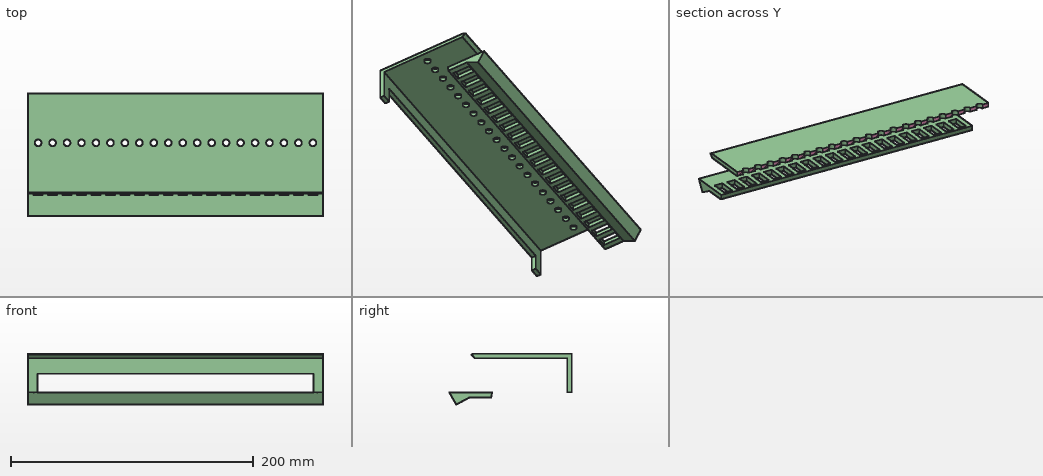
import cadquery as cq

LENGTH = 243.0
DEPTH = 101.0
COVER_HEIGHT = 31.8
Y_BACK = DEPTH

STATION_COUNT = 20
STATION_PITCH = 12.0

COVER_DEPTH = 82.9
SHEET = 4.0
TOP_BEVEL_DROP = 0.85
TOP_BEVEL_RUN = 1.5
LOWER_BEVEL = 3.0
HOLE_DIAMETER = 5.3
HOLE_FROM_BACK = 40.8
LEG_WIDTH = 8.0
OPENING_HEIGHT = 15.0

GRILLE_DEPTH = 35.5
GRILLE_THICKNESS = 4.4
BACK_TAPER = 0.7
LIP_HEIGHT = 10.2
LIP_SETBACK = 5.8
LIP_ROOT = 16.8
SLOT_WIDTH = 7.3
SLOT_DEPTH = 15.3
SLOT_FRONT = 17.5


def extrude_profile(points):
    """Extrude a (Y, Z) outline along the full length, centred on X = 0."""
    return cq.Workplane("YZ").polyline(points).close().extrude(LENGTH / 2, both=True)


def at_stations(y, z):
    """Workplane facing up with one point at each station."""
    return (
        cq.Workplane("XY", origin=(0, y, z))
        .rarray(STATION_PITCH, 2.5, STATION_COUNT, 1)
    )


def make_cover():
    y_front = Y_BACK - COVER_DEPTH
    z_under = COVER_HEIGHT - SHEET
    sheet = extrude_profile([
        (Y_BACK, 0),
        (Y_BACK, COVER_HEIGHT),
        (y_front + TOP_BEVEL_RUN, COVER_HEIGHT),
        (y_front, COVER_HEIGHT - TOP_BEVEL_DROP),
        (y_front + LOWER_BEVEL, z_under),
        (Y_BACK - SHEET, z_under),
        (Y_BACK - SHEET, 0),
    ])
    holes = at_stations(Y_BACK - HOLE_FROM_BACK, z_under).circle(HOLE_DIAMETER / 2).extrude(SHEET)
    opening = (
        cq.Workplane("XY", origin=(0, Y_BACK - SHEET / 2, 0))
        .rect(LENGTH - 2 * LEG_WIDTH, SHEET)
        .extrude(OPENING_HEIGHT)
    )
    return sheet.cut(holes).cut(opening)


def make_grille():
    strip = extrude_profile([
        (0, 0),
        (GRILLE_DEPTH, 0),
        (GRILLE_DEPTH - BACK_TAPER, -GRILLE_THICKNESS),
        (LIP_ROOT, -GRILLE_THICKNESS),
        (LIP_SETBACK, -LIP_HEIGHT),
    ])
    slots = (
        at_stations(SLOT_FRONT + SLOT_DEPTH / 2, -LIP_HEIGHT)
        .rect(SLOT_WIDTH, SLOT_DEPTH)
        .extrude(LIP_HEIGHT)
    )
    return strip.cut(slots)


cover = make_cover()
grille = make_grille()
result = cq.Compound.makeCompound([cover.val(), grille.val()])